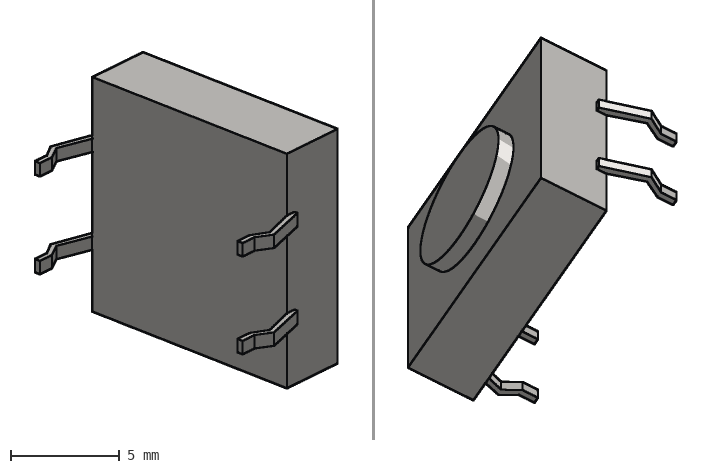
import cadquery as cq

housing_side = 12.0
housing_depth = 3.5

button_diameter = 7.05
button_height = 0.8

pin_span = 13.77
pin_width = 0.69
pin_pitch = 5.0
pin_thickness = 0.32
pin_top = 0.52
knee_drop = 1.87
inner_knee_drop = 1.82
ankle_drop = 2.67
pin_drop = 3.5
tip_outer_x = 6.4
root_outer_x = 6.18

housing_half = housing_side / 2
knee_x = pin_span / 2


def make_pin(z_center):
    """One bent pin on the +X side, centred on the given height."""
    tip_inner_x = tip_outer_x - pin_thickness
    outline = [
        (housing_half, pin_top),
        (root_outer_x, pin_top),
        (knee_x, -knee_drop),
        (tip_outer_x, -ankle_drop),
        (tip_outer_x, -pin_drop),
        (tip_inner_x, -pin_drop),
        (tip_inner_x, -ankle_drop),
        (knee_x - pin_thickness, -inner_knee_drop),
        (housing_half, 0),
    ]
    return (
        cq.Workplane("XY")
        .workplane(offset=z_center - pin_width / 2)
        .polyline(outline)
        .close()
        .extrude(pin_width)
    )


housing = cq.Workplane("XY").box(
    housing_side, housing_depth, housing_side, centered=(True, False, True)
)

button = (
    cq.Workplane("XZ", origin=(0, housing_depth, 0))
    .circle(button_diameter / 2)
    .extrude(-button_height)
)

result = housing.union(button)
for z_center in (-pin_pitch / 2, pin_pitch / 2):
    pin = make_pin(z_center)
    result = result.union(pin).union(pin.mirror("YZ"))